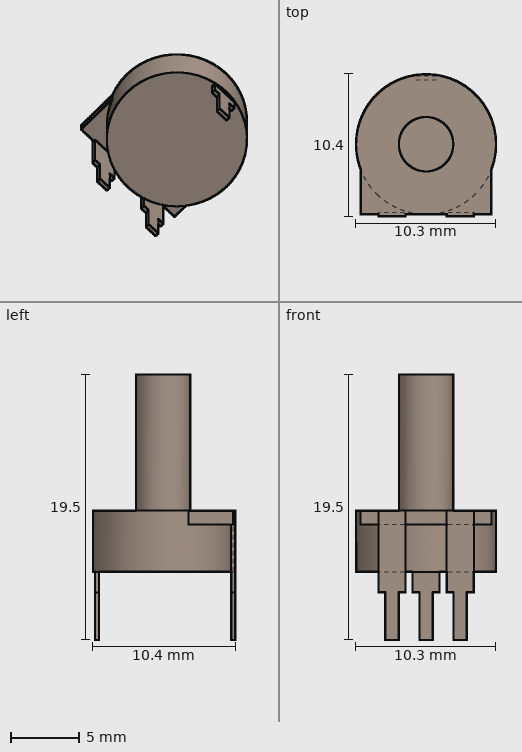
import cadquery as cq

BODY_DIAMETER = 10.3
BODY_RADIUS = BODY_DIAMETER / 2
BODY_HEIGHT = 4.5
SHAFT_DIAMETER = 4.0
SHAFT_LENGTH = 10.0

FLANGE_WIDTH = 9.6
FLANGE_THICKNESS = 1.0

PIN_THICKNESS = 0.3
SHOULDER_WIDTH = 2.0
SHOULDER_DROP = 1.5
TIP_WIDTH = 1.0
PIN_DROP = 5.0
FRONT_PIN_PITCH = 5.0
FRONT_PIN_PROTRUSION = 0.15
REAR_PIN_INSET = 0.15

FRONT_PIN_Y = -BODY_RADIUS - FRONT_PIN_PROTRUSION
REAR_PIN_Y = BODY_RADIUS - REAR_PIN_INSET - PIN_THICKNESS


def make_body():
    return cq.Workplane("XY").circle(BODY_RADIUS).extrude(BODY_HEIGHT)


def make_shaft():
    return (
        cq.Workplane("XY")
        .workplane(offset=BODY_HEIGHT)
        .circle(SHAFT_DIAMETER / 2)
        .extrude(SHAFT_LENGTH)
    )


def make_flange():
    """Plate from the shaft axis to the tangent at the front of the body."""
    return (
        cq.Workplane("XY")
        .workplane(offset=BODY_HEIGHT - FLANGE_THICKNESS)
        .center(0, -BODY_RADIUS / 2)
        .rect(FLANGE_WIDTH, BODY_RADIUS)
        .extrude(FLANGE_THICKNESS)
    )


def make_strip(x_center, y_front, width, z_bottom, z_top):
    """Upright flat strip centred on x_center, with its front face at y_front."""
    return (
        cq.Workplane("XY")
        .box(width, PIN_THICKNESS, z_top - z_bottom, centered=(True, False, False))
        .translate((x_center, y_front, z_bottom))
    )


def make_pin(x_center, y_front, z_top):
    shoulder = make_strip(x_center, y_front, SHOULDER_WIDTH, -SHOULDER_DROP, z_top)
    tip = make_strip(x_center, y_front, TIP_WIDTH, -PIN_DROP, -SHOULDER_DROP)
    return shoulder.union(tip)


result = make_body().union(make_flange()).union(make_shaft())

for side in (-1, 1):
    result = result.union(make_pin(side * FRONT_PIN_PITCH / 2, FRONT_PIN_Y, BODY_HEIGHT))

result = result.union(make_pin(0, REAR_PIN_Y, 0))